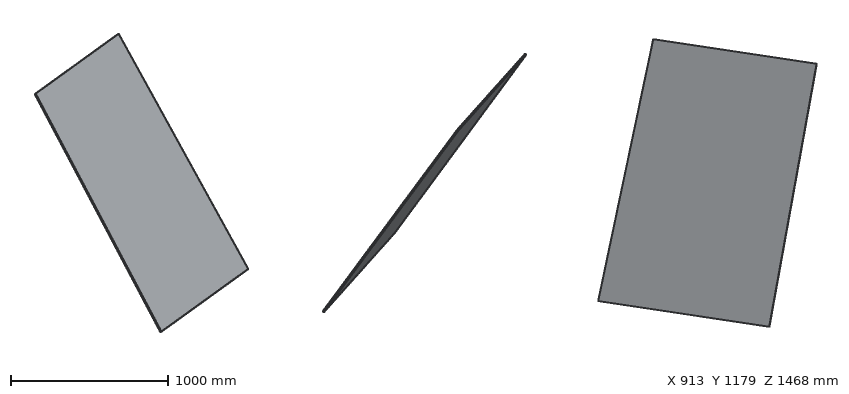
import cadquery as cq
import math

SPAN_X = 913.0
SPAN_Y = 1179.0
SPAN_Z = 1468.0

THICKNESS = 10.0
REAR_TAPER = 53.0
SOLVER_STEPS = 10


def panel_slope(span_x, span_z, thickness):
    """Slope angle and length of a thick, square-ended strip that fills the given spans."""
    angle = math.atan2(span_z, span_x)
    for _ in range(SOLVER_STEPS):
        run = span_x - thickness * math.sin(angle)
        rise = span_z - thickness * math.cos(angle)
        angle = math.atan2(rise, run)
    return angle, math.hypot(run, rise)


slope, length = panel_slope(SPAN_X, SPAN_Z, THICKNESS)

underside = cq.Plane(
    origin=(0, 0, 0),
    xDir=(-math.cos(slope), 0, math.sin(slope)),
    normal=(math.sin(slope), 0, math.cos(slope)),
)

result = (
    cq.Workplane(underside)
    .polyline([
        (0, 0),
        (length, 0),
        (length, -(SPAN_Y - REAR_TAPER)),
        (0, -SPAN_Y),
    ])
    .close()
    .extrude(THICKNESS)
)